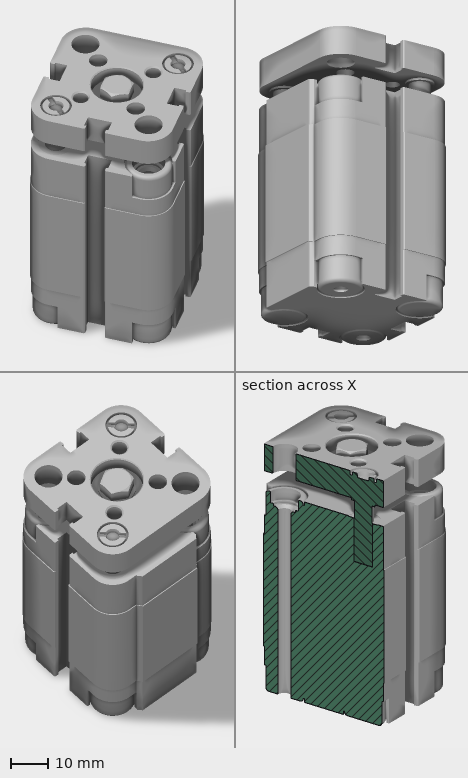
import cadquery as cq
import math

total_height = 73.0
plate_thickness = 8.0
stroke_gap = 5.5
body_height = total_height - plate_thickness - stroke_gap
plate_bottom = total_height - plate_thickness
end_cap_height = 13.0

tube_side = 40.0
cap_side = 39.5
guide_offset = 13.0
tube_corner_radius = 7.0
cap_corner_radius = cap_side / 2 - guide_offset
plate_corner_radius = 6.9

slot_mouth_width = 5.55
slot_mouth_chamfer = 0.3
slot_inner_width = 6.7
slot_floor = 15.05
slot_lip_inside = 18.4
slot_angles = (-90, 0, 180)

tube_rail_top = 21.45
rail_top_width = 19.4
rail_base_width = 21.2
rail_edge_height = 0.3
rail_foot_height = 0.3

boss_diameter = 12.5
boss_edge_radius = 1.0
boss_gap = 0.2
pocket_depth = 7.45
pocket_wall = 10.45

screw_bore_diameter = 9.0
screw_bore_depth = 3.3
screw_step_diameter = 7.2
screw_step_depth = 3.95
screw_cone_diameter = 5.6
screw_hole_diameter = 4.0

rod_diameter = 10.0
rod_flat_width = 9.0
rod_flat_bottom = 60.8
guide_diameter = 6.0
guide_seat_diameter = 9.5
guide_seat_depth = 0.15
rod_insertion = end_cap_height
rod_bottom = body_height - rod_insertion

collar_diameter = 7.95
collar_height = 0.6
head_diameter = 7.2
head_rim_diameter = 8.5
head_recess = 0.15
head_slot_width = 1.6
head_slot_depth = 1.0
head_slot_turn = -45
head_hole_diameter = 4.0
head_hole_floor_diameter = 3.4
head_hole_depth = 1.25

bore_diameter = 14.0
bore_depth = 4.0
bore_chamfer = 0.3
rod_step = 0.4
hex_across_flats = 8.0
hex_top_diameter = 7.5
hex_chamfer_angle = 30
hex_turn = 30

clearance_hole_diameter = 7.5
plate_hole_offset = 7.75
plain_hole_diameter = 5.0
threaded_hole_diameter = 4.15
thread_chamfer = (plain_hole_diameter - threaded_hole_diameter) / 2

guide_radius = guide_offset * math.sqrt(2)
guide_points = [(guide_offset, guide_offset), (-guide_offset, -guide_offset)]
screw_points = [(-guide_offset, guide_offset), (guide_offset, -guide_offset)]
threaded_points = [(plate_hole_offset, plate_hole_offset), (-plate_hole_offset, -plate_hole_offset)]
plain_points = [(-plate_hole_offset, plate_hole_offset), (plate_hole_offset, -plate_hole_offset)]


def cylinders(points, diameter, bottom, top):
    """Upright cylinders of one diameter between two levels."""
    return (
        cq.Workplane("XY", origin=(0, 0, bottom))
        .pushPoints(points)
        .circle(diameter / 2)
        .extrude(top - bottom)
    )


def cones(points, bottom_diameter, top_diameter, bottom, top):
    """Upright truncated cones between two levels."""
    cone = cq.Solid.makeCone(bottom_diameter / 2, top_diameter / 2, top - bottom)
    return cq.Workplane("XY").pushPoints(points).eachpoint(
        lambda place: cone.translate((0, 0, bottom)).moved(place), combine=True
    )


def rounded_block(side, corner_radius, bottom, top):
    """Square block with rounded upright edges."""
    block = cq.Workplane("XY", origin=(0, 0, bottom)).rect(side, side).extrude(top - bottom)
    return block.edges("|Z").fillet(corner_radius)


def rail(drop, bottom, top):
    """Flat rail on the +Y side, set lower by the given drop, whose flanks flare at the foot."""
    rail_top = tube_rail_top - drop
    flare_start = tube_side / 2 - drop + rail_foot_height
    flare_end = rail_top - rail_edge_height
    return (
        cq.Workplane("XY", origin=(0, 0, bottom))
        .moveTo(-rail_base_width / 2, slot_floor)
        .lineTo(-rail_base_width / 2, flare_start)
        .lineTo(-rail_top_width / 2, flare_end)
        .lineTo(-rail_top_width / 2, rail_top)
        .lineTo(rail_top_width / 2, rail_top)
        .lineTo(rail_top_width / 2, flare_end)
        .lineTo(rail_base_width / 2, flare_start)
        .lineTo(rail_base_width / 2, slot_floor)
        .close()
        .extrude(top - bottom)
    )


def t_slots(side):
    """Full-height T-slot cutters on -X, -Y and +X for a block of the given side."""
    outer_face = side / 2
    mouth_half = slot_mouth_width / 2
    inner_half = slot_inner_width / 2
    chamfer = slot_mouth_chamfer
    half_outline = [
        (slot_floor, inner_half),
        (slot_lip_inside, inner_half),
        (slot_lip_inside, mouth_half),
        (outer_face - chamfer, mouth_half),
        (outer_face, mouth_half + chamfer),
    ]
    mirrored_half = [(x, -y) for x, y in reversed(half_outline)]
    slot = cq.Workplane("XY").polyline(half_outline + mirrored_half).close().extrude(total_height)
    cutters = cq.Workplane("XY")
    for angle in slot_angles:
        cutters = cutters.add(slot.rotate((0, 0, 0), (0, 0, 1), angle))
    return cutters.combine()


def corner_pocket(x_sign, y_sign, at_top):
    """Cutter that frees a round boss with a rounded end edge at one body corner."""
    boss_point = [(guide_offset, guide_offset)]
    pocket_side = tube_side / 2 - pocket_wall
    corner = cq.Workplane("XY").box(pocket_side, pocket_side, pocket_depth, centered=False)
    corner = corner.translate((pocket_wall, pocket_wall, 0))
    full_boss = cylinders(boss_point, boss_diameter, 0, pocket_depth)
    rounded_boss = full_boss.faces(">Z").edges().fillet(boss_edge_radius)
    groove_diameter = boss_diameter + 2 * boss_gap
    groove_floor = pocket_depth - boss_edge_radius
    edge_groove = cylinders(boss_point, groove_diameter, groove_floor, pocket_depth)
    cutter = corner.cut(full_boss).union(edge_groove.cut(rounded_boss))
    if at_top:
        cutter = cutter.translate((0, 0, body_height - pocket_depth))
    else:
        cutter = cutter.mirror("XY").translate((0, 0, pocket_depth))
    if x_sign < 0:
        cutter = cutter.mirror("YZ")
    if y_sign < 0:
        cutter = cutter.mirror("XZ")
    return cutter


def make_body():
    """Cylinder body: two end caps, a slightly larger tube, slots, pockets and holes."""
    cap_drop = (tube_side - cap_side) / 2
    tube_bottom = end_cap_height
    tube_top = body_height - end_cap_height
    body = rounded_block(cap_side, cap_corner_radius, 0, body_height).cut(t_slots(cap_side))
    tube = rounded_block(tube_side, tube_corner_radius, tube_bottom, tube_top)
    body = body.union(tube.cut(t_slots(tube_side)))
    body = body.union(rail(cap_drop, 0, body_height))
    body = body.union(rail(0, tube_bottom, tube_top))

    for x_sign in (-1, 1):
        for y_sign in (-1, 1):
            body = body.cut(corner_pocket(x_sign, y_sign, at_top=False))
            if x_sign != y_sign:
                body = body.cut(corner_pocket(x_sign, y_sign, at_top=True))

    step_floor = body_height - screw_step_depth
    cone_depth = (screw_cone_diameter - screw_hole_diameter) / 2
    body = body.cut(cylinders(screw_points, screw_hole_diameter, 0, body_height))
    body = body.cut(
        cylinders(screw_points, screw_bore_diameter, body_height - screw_bore_depth, body_height)
    )
    body = body.cut(cylinders(screw_points, screw_step_diameter, step_floor, body_height))
    body = body.cut(
        cones(screw_points, screw_hole_diameter, screw_cone_diameter, step_floor - cone_depth, step_floor)
    )

    body = body.cut(cylinders([(0, 0)], rod_diameter, rod_bottom, body_height))
    body = body.cut(cylinders(guide_points, guide_diameter, rod_bottom, body_height))
    return body.cut(
        cylinders(guide_points, guide_seat_diameter, body_height - guide_seat_depth, body_height)
    )


def hex_end(bottom, top):
    """Hexagonal rod end with its corners chamfered down to a round top face."""
    corner_diameter = hex_across_flats / math.cos(math.pi / 6)
    height = top - bottom
    prism = (
        cq.Workplane("XY", origin=(0, 0, bottom))
        .polygon(6, corner_diameter)
        .extrude(height)
        .rotate((0, 0, 0), (0, 0, 1), hex_turn)
    )
    cone_growth = 2 * height / math.tan(math.radians(hex_chamfer_angle))
    envelope = cones([(0, 0)], hex_top_diameter + cone_growth, hex_top_diameter, bottom, top)
    return prism.intersect(envelope)


def make_piston_rod():
    """Piston rod with two wrench flats and a hexagonal end."""
    rod_top = total_height - bore_depth + rod_step
    rod = cylinders([(0, 0)], rod_diameter, rod_bottom, rod_top)
    flat_zone = cq.Workplane("XY", origin=(0, 0, rod_flat_bottom)).rect(rod_diameter, rod_diameter)
    flat_zone = flat_zone.rect(rod_diameter, rod_flat_width).extrude(plate_bottom - rod_flat_bottom)
    rod = rod.cut(flat_zone)
    return rod.union(hex_end(rod_top, total_height))


def make_carriage():
    """Front plate together with the piston rod and the two guide rods."""
    plate = rounded_block(cap_side, plate_corner_radius, plate_bottom, total_height)
    plate = plate.cut(t_slots(cap_side))

    plate = plate.cut(cylinders([(0, 0)], bore_diameter, total_height - bore_depth, total_height))
    bore_rim = bore_diameter + 2 * bore_chamfer
    plate = plate.cut(
        cones([(0, 0)], bore_diameter, bore_rim, total_height - bore_chamfer, total_height)
    )

    plate = plate.cut(cylinders(screw_points, clearance_hole_diameter, plate_bottom, total_height))
    plate = plate.cut(cylinders(plain_points, plain_hole_diameter, plate_bottom, total_height))
    plate = plate.cut(cylinders(threaded_points, threaded_hole_diameter, plate_bottom, total_height))
    thread_chamfer_bottom = total_height - thread_chamfer
    plate = plate.cut(
        cones(threaded_points, threaded_hole_diameter, plain_hole_diameter,
              thread_chamfer_bottom, total_height)
    )

    head_top = total_height - head_recess
    slot_bottom = head_top - head_slot_depth
    hole_bottom = head_top - head_hole_depth
    plate = plate.cut(cylinders(guide_points, head_rim_diameter, slot_bottom, total_height))
    heads = cylinders(guide_points, head_diameter, slot_bottom, head_top)
    slots = (
        cq.Workplane("XY", origin=(0, 0, slot_bottom))
        .transformed(rotate=(0, 0, head_slot_turn))
        .pushPoints([(0, guide_radius), (0, -guide_radius)])
        .rect(head_rim_diameter, head_slot_width)
        .extrude(head_slot_depth)
    )
    plate = plate.union(heads.cut(slots))
    plate = plate.cut(
        cones(guide_points, head_hole_floor_diameter, head_hole_diameter, hole_bottom, head_top)
    )

    plate = plate.union(cylinders(guide_points, guide_diameter, rod_bottom, plate_bottom))
    plate = plate.union(
        cylinders(guide_points, collar_diameter, plate_bottom - collar_height, plate_bottom)
    )
    return plate.union(make_piston_rod())


body = make_body()
carriage = make_carriage()

result = cq.Compound.makeCompound([body.val(), carriage.val()])